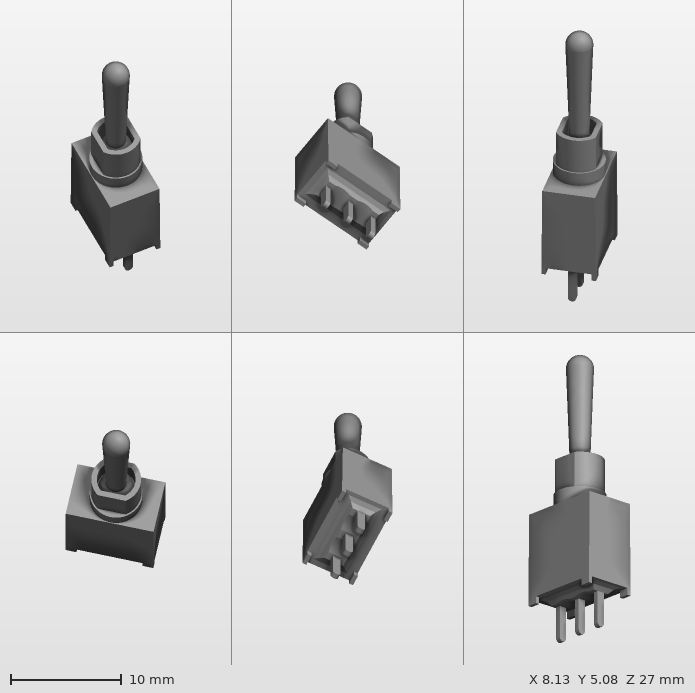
import cadquery as cq


BODY_LENGTH = 8.13
BODY_WIDTH = 5.08
BODY_TOP_WIDTH = 4.92
BODY_HEIGHT = 8.86
BODY_OFFSET_X = -0.065

LEG_HEIGHT = 0.66
RELIEF_LENGTH = 6.1
RELIEF_WIDTH = 4.3

COLLAR_DIAMETER = 4.8
COLLAR_HEIGHT = 1.32
BUSHING_DIAMETER = 4.5
BUSHING_ACROSS_FLATS = 3.7
BUSHING_HEIGHT = 3.38
BORE_DIAMETER = 3.5
BORE_ACROSS_FLATS = 2.7
BORE_DEPTH = 2.2

PIVOT_DIAMETER = 3.3
LEVER_DIAMETER = 1.88
TIP_DIAMETER = 2.54
LEVER_LENGTH = 10.14

PIN_PITCH = 2.54
PIN_COUNT = 3
PIN_THICKNESS = 0.5
PIN_WIDTH = 0.76
PIN_LENGTH = 3.3

FLARE_HEIGHT = 0.2
FLARE_SPREAD = 0.43
MOUND_HEIGHT = 0.4
MOUND_SPREAD = 0.36
MOUND_TIP_LENGTH = 5.6
MOUND_TIP_WIDTH = 1.76
SCALLOP_LENGTH = 1.7
SCALLOP_DEPTH = 0.12

COLLAR_TOP = BODY_HEIGHT + COLLAR_HEIGHT
BUSHING_TOP = COLLAR_TOP + BUSHING_HEIGHT
BORE_FLOOR = BUSHING_TOP - BORE_DEPTH
PIN_POSITIONS = [(i - (PIN_COUNT - 1) / 2) * PIN_PITCH for i in range(PIN_COUNT)]


def make_box(length, width, height, z_base):
    """Box centred on the Z axis, standing on z_base."""
    return cq.Workplane("XY").workplane(offset=z_base).box(
        length, width, height, centered=(True, True, False)
    )


def make_flatted_cylinder(diameter, across_flats, height, z_base):
    """Cylinder with two flats facing -Y and +Y."""
    cylinder = cq.Workplane("XY").workplane(offset=z_base).circle(diameter / 2).extrude(height)
    return cylinder.intersect(make_box(diameter, across_flats, height, z_base))


def make_housing():
    half_base = BODY_WIDTH / 2
    half_top = BODY_TOP_WIDTH / 2
    housing = (
        cq.Workplane("YZ")
        .polyline(
            [
                (-half_base, 0),
                (half_base, 0),
                (half_top, BODY_HEIGHT),
                (-half_top, BODY_HEIGHT),
            ]
        )
        .close()
        .extrude(BODY_LENGTH / 2, both=True)
    )
    housing = housing.cut(make_box(RELIEF_LENGTH, BODY_WIDTH, LEG_HEIGHT, 0))
    housing = housing.cut(make_box(BODY_LENGTH, RELIEF_WIDTH, LEG_HEIGHT, 0))
    return housing.translate((BODY_OFFSET_X, 0, 0))


def make_bushing():
    collar = (
        cq.Workplane("XY")
        .workplane(offset=BODY_HEIGHT)
        .circle(COLLAR_DIAMETER / 2)
        .extrude(COLLAR_HEIGHT)
    )
    barrel = make_flatted_cylinder(
        BUSHING_DIAMETER, BUSHING_ACROSS_FLATS, BUSHING_HEIGHT, COLLAR_TOP
    )
    bore = make_flatted_cylinder(BORE_DIAMETER, BORE_ACROSS_FLATS, BORE_DEPTH, BORE_FLOOR)
    return collar.union(barrel).cut(bore)


def make_lever():
    """Hemispherical pivot on the bore floor, tapered stem and round tip."""
    pivot_radius = PIVOT_DIAMETER / 2
    tip_radius = TIP_DIAMETER / 2
    lever_top = BUSHING_TOP + LEVER_LENGTH
    ball_center = lever_top - tip_radius
    taper = (TIP_DIAMETER - LEVER_DIAMETER) / 2 / (ball_center - BUSHING_TOP)
    stem_base_radius = LEVER_DIAMETER / 2 - taper * BORE_DEPTH
    stem = (
        cq.Workplane("XZ")
        .moveTo(0, BORE_FLOOR)
        .lineTo(stem_base_radius, BORE_FLOOR)
        .lineTo(tip_radius, ball_center)
        .radiusArc((0, lever_top), -tip_radius)
        .close()
        .revolve(360, (0, 0), (0, 1))
    )
    pivot = (
        cq.Workplane("XZ")
        .moveTo(0, BORE_FLOOR)
        .lineTo(pivot_radius, BORE_FLOOR)
        .radiusArc((0, BORE_FLOOR + pivot_radius), -pivot_radius)
        .close()
        .revolve(360, (0, 0), (0, 1))
    )
    pivot = pivot.intersect(make_box(PIVOT_DIAMETER, BORE_ACROSS_FLATS, BORE_DEPTH, BORE_FLOOR))
    return stem.union(pivot)


def make_frustum(tip_length, tip_width, spread, z_tip, z_base):
    """Rectangular frustum that widens by `spread` on every side from z_tip to z_base."""
    return (
        cq.Workplane("XY")
        .workplane(offset=z_tip)
        .rect(tip_length, tip_width)
        .workplane(offset=z_base - z_tip)
        .rect(tip_length + 2 * spread, tip_width + 2 * spread)
        .loft(ruled=True)
    )


def make_sealing_mound():
    flare_bottom = LEG_HEIGHT - FLARE_HEIGHT
    mound_bottom = flare_bottom - MOUND_HEIGHT
    mound = make_frustum(
        MOUND_TIP_LENGTH, MOUND_TIP_WIDTH, MOUND_SPREAD, mound_bottom, flare_bottom
    )
    flare = make_frustum(
        MOUND_TIP_LENGTH + 2 * MOUND_SPREAD,
        MOUND_TIP_WIDTH + 2 * MOUND_SPREAD,
        FLARE_SPREAD,
        flare_bottom,
        LEG_HEIGHT,
    )
    mound = mound.union(flare)
    for left, right in zip(PIN_POSITIONS, PIN_POSITIONS[1:]):
        middle = (left + right) / 2
        scallop = (
            cq.Workplane("XZ")
            .moveTo(middle - SCALLOP_LENGTH / 2, mound_bottom)
            .threePointArc(
                (middle, mound_bottom + SCALLOP_DEPTH),
                (middle + SCALLOP_LENGTH / 2, mound_bottom),
            )
            .close()
            .extrude(BODY_WIDTH / 2, both=True)
        )
        mound = mound.cut(scallop)
    return mound


def make_pin(x):
    """Flat terminal with a full-round lower end."""
    half_width = PIN_WIDTH / 2
    round_start = half_width - PIN_LENGTH
    return (
        cq.Workplane("YZ")
        .workplane(offset=x)
        .moveTo(-half_width, LEG_HEIGHT)
        .lineTo(-half_width, round_start)
        .threePointArc((0, -PIN_LENGTH), (half_width, round_start))
        .lineTo(half_width, LEG_HEIGHT)
        .close()
        .extrude(PIN_THICKNESS / 2, both=True)
    )


result = make_housing().union(make_bushing()).union(make_lever()).union(make_sealing_mound())
for pin_x in PIN_POSITIONS:
    result = result.union(make_pin(pin_x))